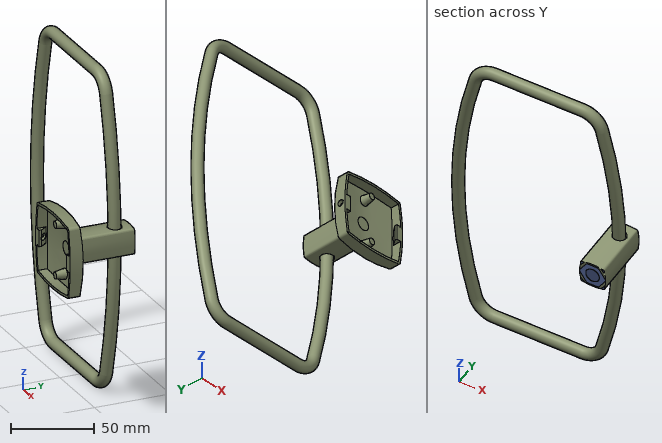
import cadquery as cq
import math

ROD_DIAMETER = 8.0
RING_HEIGHT = 210.0
RING_WIDTH = 120.0
RING_HALF_STRAIGHT = 30.5
RING_BEND_RADIUS = 13.9
RING_Y = 40.1
ROD_OFFSET = 1.3

PLATE_SIZE = 50.0
PLATE_SIDE_RADIUS = 115.5
PLATE_CORNER_RADIUS = 2.0
PLATE_HEIGHT = 10.5
DOME_RADIUS = 168.0
WALL = 1.7
FLOOR_THICKNESS = 1.7

TAB_HEIGHT = 10.7
TAB_TIP_DEPTH = 1.7
TAB_RAMP_END_Y = 6.3
TAB_REACH = 5.0
SIDE_HOLE_DIAMETER = 4.2
SIDE_HOLE_Y = 3.5
PEG_BASE_DIAMETER = 7.1
PEG_TIP_DIAMETER = 4.5
PEG_TIP_Y = 1.5
PEG_BASE_Y = 8.8
PEG_OFFSET = 16.5

POST_SIZE = 18.0
POST_SIDE_RADIUS = 42.0
POST_CORNER_RADIUS = 1.7
POST_END_Y = 50.2
BORE_DIAMETER = 9.0
TENON_DIAMETER = 9.0

DOME_CENTRE_Y = PLATE_HEIGHT - DOME_RADIUS
RING_TOP = (RING_HEIGHT - ROD_DIAMETER) / 2
RING_HALF_WIDTH = (RING_WIDTH - ROD_DIAMETER) / 2


def bowed_square(size, side_radius, length):
    """Square with four outward-bowed sides, extruded from Y = 0 towards +Y."""
    half = size / 2
    inset = side_radius - half
    corner = (math.sqrt(2 * side_radius**2 - inset**2) - inset) / 2
    return (
        cq.Workplane("XZ")
        .moveTo(-corner, -corner)
        .threePointArc((0, -half), (corner, -corner))
        .threePointArc((half, 0), (corner, corner))
        .threePointArc((0, half), (-corner, corner))
        .threePointArc((-half, 0), (-corner, -corner))
        .close()
        .extrude(-length)
    )


def cylinder_y(diameter, start, end):
    return cq.Workplane("XZ", origin=(0, start, 0)).circle(diameter / 2).extrude(start - end)


def dome(radius):
    return cq.Workplane("XY").sphere(radius).translate((0, DOME_CENTRE_Y, 0))


def make_ring():
    bend_x = RING_HALF_STRAIGHT
    bend_z = RING_TOP - RING_BEND_RADIUS
    reach = RING_HALF_WIDTH - bend_x
    side_radius = (reach**2 + bend_z**2 - RING_BEND_RADIUS**2) / (2 * (reach - RING_BEND_RADIUS))
    side_angle = math.atan2(bend_z, bend_x - RING_HALF_WIDTH + side_radius)
    mid_angle = (side_angle + math.pi / 2) / 2

    def bend_point(angle):
        return (
            bend_x + RING_BEND_RADIUS * math.cos(angle),
            bend_z + RING_BEND_RADIUS * math.sin(angle),
        )

    mid_x, mid_z = bend_point(mid_angle)
    end_x, end_z = bend_point(side_angle)
    path = (
        cq.Workplane("XZ")
        .moveTo(-bend_x, RING_TOP)
        .lineTo(bend_x, RING_TOP)
        .threePointArc((mid_x, mid_z), (end_x, end_z))
        .threePointArc((RING_HALF_WIDTH, 0), (end_x, -end_z))
        .threePointArc((mid_x, -mid_z), (bend_x, -RING_TOP))
        .lineTo(-bend_x, -RING_TOP)
        .threePointArc((-mid_x, -mid_z), (-end_x, -end_z))
        .threePointArc((-RING_HALF_WIDTH, 0), (-end_x, end_z))
        .threePointArc((-mid_x, mid_z), (-bend_x, RING_TOP))
        .close()
    )
    rod = cq.Workplane("YZ", origin=(-bend_x, 0, RING_TOP)).circle(ROD_DIAMETER / 2)
    return rod.sweep(path).translate((ROD_OFFSET - RING_HALF_WIDTH, RING_Y, 0))


def make_peg(z):
    """Tapered peg from the cup floor towards the rim."""
    length = PEG_BASE_Y - PEG_TIP_Y
    return (
        cq.Workplane("XZ", origin=(0, PEG_BASE_Y, z))
        .circle(PEG_BASE_DIAMETER / 2)
        .workplane(offset=length)
        .circle(PEG_TIP_DIAMETER / 2)
        .loft()
    )


def make_tab():
    """Tab on the -X wall: flat at the rim, with a back that slopes down to the wall."""
    wall_x = -PLATE_SIZE / 2
    tip_x = wall_x + TAB_REACH
    return (
        cq.Workplane("XY", origin=(0, 0, -TAB_HEIGHT / 2))
        .moveTo(wall_x, 0)
        .lineTo(tip_x, 0)
        .lineTo(tip_x, TAB_TIP_DEPTH)
        .lineTo(wall_x + WALL, TAB_RAMP_END_Y)
        .lineTo(wall_x, TAB_RAMP_END_Y)
        .close()
        .extrude(TAB_HEIGHT)
    )


def make_plate():
    outer = bowed_square(PLATE_SIZE, PLATE_SIDE_RADIUS, PLATE_HEIGHT)
    outer = outer.edges("|Y").fillet(PLATE_CORNER_RADIUS).intersect(dome(DOME_RADIUS))
    inside = bowed_square(PLATE_SIZE - 2 * WALL, PLATE_SIDE_RADIUS - WALL, PLATE_HEIGHT)
    inside = inside.intersect(dome(DOME_RADIUS - FLOOR_THICKNESS))

    tab = make_tab()
    plate = outer.cut(inside.cut(tab).cut(tab.mirror("YZ")))

    for z in (-PEG_OFFSET, PEG_OFFSET):
        plate = plate.union(make_peg(z))
    side_hole = (
        cq.Workplane("YZ", origin=(-PLATE_SIZE / 2, SIDE_HOLE_Y, 0))
        .circle(SIDE_HOLE_DIAMETER / 2)
        .extrude(PLATE_SIZE / 2)
    )
    tenon_hole = cylinder_y(TENON_DIAMETER, 0, PLATE_HEIGHT)
    return plate.cut(side_hole).cut(tenon_hole)


def make_post():
    post = bowed_square(POST_SIZE, POST_SIDE_RADIUS, POST_END_Y)
    post = post.edges("|Y").fillet(POST_CORNER_RADIUS).cut(dome(DOME_RADIUS))
    tenon = cylinder_y(TENON_DIAMETER, 0, RING_Y).cut(dome(DOME_RADIUS - FLOOR_THICKNESS))
    bore = (
        cq.Workplane("XY", origin=(ROD_OFFSET, RING_Y, 0))
        .circle(BORE_DIAMETER / 2)
        .extrude(POST_SIZE, both=True)
    )
    return post.union(tenon).cut(bore)


ring = make_ring()
plate = make_plate()
post = make_post()
result = cq.Compound.makeCompound([ring.val(), *plate.solids().vals(), *post.solids().vals()])